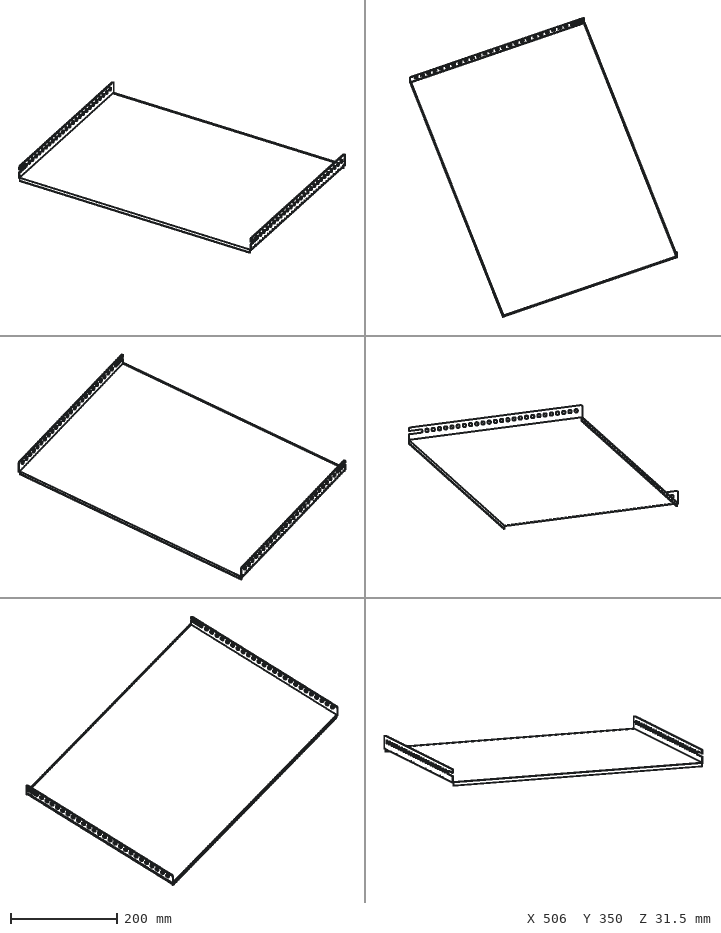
import cadquery as cq

length_x = 506.0
depth_y = 350.0
height_z = 31.5
sheet = 1.5
flange_thickness = 2.0
lip_drop = 6.0
lip_end_inset = 2.0
flange_setback = 1.0
back_setback = 1.0
flange_corner = 4.0
hole_diameter = 6.5
hole_row_span = 300.0
hole_count = 25
first_hole_inset = 12.5
hole_below_top = 10.0

half_x = length_x / 2
front_y = -depth_y / 2
back_y = depth_y / 2
flange_front_y = front_y + flange_setback
lip_half_x = half_x - lip_end_inset
back_lip_y = back_y - back_setback
floor_top_z = lip_drop + sheet
hole_radius = hole_diameter / 2
hole_z = height_z - hole_below_top
hole_pitch = hole_row_span / (hole_count - 1)
first_hole_y = back_y - first_hole_inset
slot_end_y = first_hole_y - hole_count * hole_pitch


def box(x0, x1, y0, y1, z0, z1):
    """Box given by its limits along each axis."""
    return cq.Workplane("XY").box(x1 - x0, y1 - y0, z1 - z0, centered=False).translate((x0, y0, z0))


def side_flange(outer_x, inner_x):
    """Upright flange with rounded upper corners."""
    x0, x1 = sorted((outer_x, inner_x))
    plate = box(x0, x1, flange_front_y, back_y, lip_drop, height_z)
    return plate.edges("|X and >Z").fillet(flange_corner)


def floor_with_lips():
    """Flat floor with a downward lip along the front and back: an upside-down channel."""
    channel = box(-lip_half_x, lip_half_x, front_y, back_lip_y, 0, floor_top_z)
    hollow = box(-lip_half_x, lip_half_x, front_y + sheet, back_lip_y - sheet, 0, lip_drop)
    return channel.cut(hollow)


def hole_row():
    """Row of holes through both flanges, ending in an open slot at the front."""
    points = [(first_hole_y - i * hole_pitch, hole_z) for i in range(hole_count + 1)]
    holes = (
        cq.Workplane("YZ", origin=(-half_x, 0, 0))
        .pushPoints(points)
        .circle(hole_radius)
        .extrude(length_x)
    )
    slot = box(-half_x, half_x, front_y, slot_end_y, hole_z - hole_radius, hole_z + hole_radius)
    return holes.union(slot)


result = floor_with_lips()
for side in (-1, 1):
    result = result.union(side_flange(side * half_x, side * (half_x - flange_thickness)))
result = result.cut(hole_row())